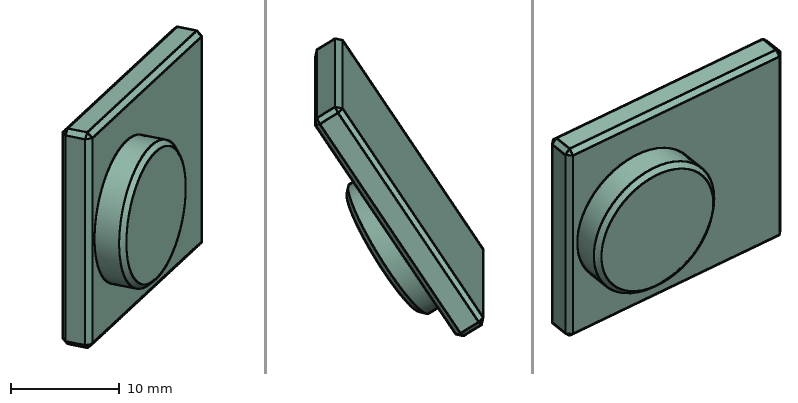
import cadquery as cq

plate_thickness = 3.0
plate_width = 25.0
plate_height = 22.0

boss_diameter = 14.0
boss_height = 3.0
boss_edge_distance = 8.0
boss_y = boss_edge_distance - plate_width / 2

chamfer_size = 0.5


def make_plate():
    """Plate with its back face at X = 0 and every edge chamfered."""
    plate = cq.Workplane("XY").box(
        plate_thickness, plate_width, plate_height, centered=(False, True, True)
    )
    return plate.edges().chamfer(chamfer_size)


def make_boss():
    """Cylinder along +X with a chamfered outer rim."""
    boss = (
        cq.Workplane("YZ", origin=(plate_thickness, boss_y, 0))
        .circle(boss_diameter / 2)
        .extrude(boss_height)
    )
    return boss.faces(">X").edges().chamfer(chamfer_size)


result = make_plate().union(make_boss())